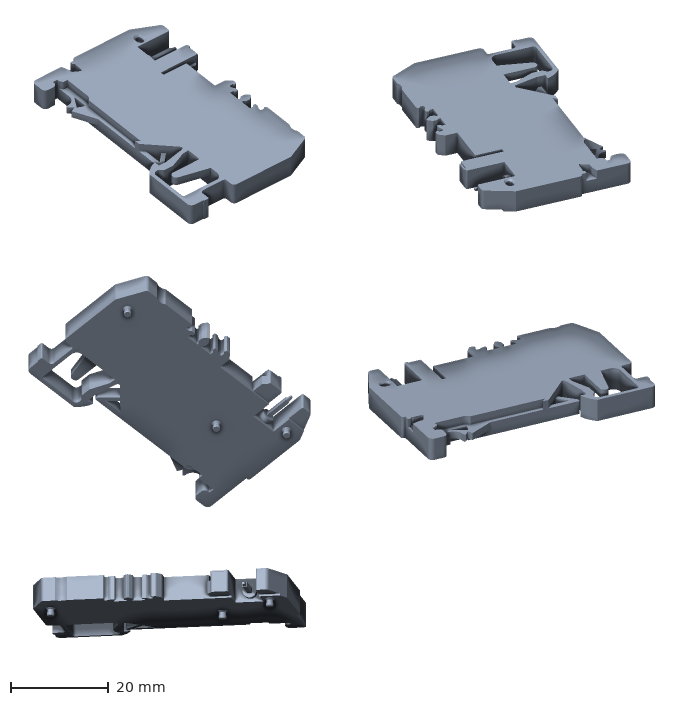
import cadquery as cq
import math

LENGTH = 53.0
HEIGHT = 32.5
THICKNESS = 4.93
PEG_LENGTH = 1.62
STEP_DEPTH = 1.95
STEP_Z = THICKNESS - STEP_DEPTH

SHOULDER_Y = 26.2
SHOULDER_RUN = 3.0
BODY_BOTTOM_Y = 11.1
RAIL_Y = 4.5
BRACE_TOP = (34.2, 8.45)
BRACE_CORNER_Y = 5.25
NOTCH_RISE = 2.75
LEG_LEFT = 0.75
LEG_RIGHT = 4.9
LEG_HOOK_X = 3.5
FOOT_RADIUS = 1.05
FOOT_LEFT_X = 39.25
FOOT_RIGHT_X = 52.8

SLOT_LEFT, SLOT_RIGHT, SLOT_BOTTOM = 5.42, 11.17, 24.0
SHELF_LEFT, SHELF_RIGHT, SHELF_Y = 15.68, 25.2, 28.5
GROOVE_LEFT, GROOVE_RIGHT, GROOVE_BOTTOM = 14.93, 15.85, 22.5
MARKER_X = 32.2
MARKER_HALF_OPENING = 5.05
MARKER_FLOOR_Y = 29.5

PIN_X = 8.03
PIN_Z = 2.12
PIN_WIDTH = 1.0
PIN_END_Y = 30.75
PIN_TIP_BASE_WIDTH = 0.75
PIN_TIP_Y = 32.0
PIN_TIP_WIDTH = 0.45
COLLAR_DIAMETER = 2.9
COLLAR_HEIGHT = 1.25

LATCH_Z = 1.35
LATCH_LEFT, LATCH_RIGHT = 7.46, 16.9

PEG_CENTERS = [(3.67, 26.05), (15.13, 17.2), (LENGTH - 3.67, 26.05)]
SOCKET_CENTER = (3.64, 26.0)
SOCKET_LENGTH, SOCKET_WIDTH = 2.8, 2.15
SOCKET_FLOOR_LENGTH, SOCKET_FLOOR_WIDTH = 2.0, 1.4
SOCKET_LEAD_IN = 0.35
SOCKET_DEPTH = 1.5

RELIEF_HEIGHT = 0.4

OVERCUT = 1.0


def rounded_outline(corners):
    """Closed wire through (x, y) or (x, y, radius) corners, rounded where a radius is given."""
    count = len(corners)
    path = []
    for i, corner in enumerate(corners):
        point = cq.Vector(corner[0], corner[1])
        if len(corner) == 2:
            path.append((point, None, point))
            continue
        previous = corners[i - 1]
        following = corners[(i + 1) % count]
        to_previous = (cq.Vector(previous[0], previous[1]) - point).normalized()
        to_following = (cq.Vector(following[0], following[1]) - point).normalized()
        half_angle = to_previous.getAngle(to_following) / 2
        radius = corner[2]
        setback = radius / math.tan(half_angle)
        to_middle = radius / math.sin(half_angle) - radius
        bisector = (to_previous + to_following).normalized()
        start = point + to_previous * setback
        middle = point + bisector * to_middle
        end = point + to_following * setback
        path.append((start, middle, end))
    outline = cq.Workplane("XY").moveTo(path[0][2].x, path[0][2].y)
    for start, middle, end in path[1:] + path[:1]:
        outline = outline.lineTo(start.x, start.y)
        if middle is not None:
            outline = outline.threePointArc((middle.x, middle.y), (end.x, end.y))
    return outline.close()


def prism(corners, bottom, top):
    """Upright prism with a rounded outline between two heights."""
    return rounded_outline(corners).extrude(top - bottom).translate((0, 0, bottom))


def through_prism(corners):
    """Prism through the full thickness of the plate."""
    return prism(corners, -OVERCUT, THICKNESS + OVERCUT)


def upper_layer_prism(corners):
    """Prism through the upper layer of the plate, from the step level up."""
    return prism(corners, STEP_Z, THICKNESS + OVERCUT)


def make_plate():
    """Plate with both feet, the slot, the shelf and the brace under the right end."""
    left_foot = [
        (0, 11.3, 0.55),
        (LEG_LEFT, 11.3),
        (LEG_LEFT, 0, FOOT_RADIUS),
        (LEG_RIGHT, 0, FOOT_RADIUS),
        (LEG_RIGHT, 3.3, 0.9),
        (LEG_HOOK_X, 3.3, 0.25),
        (LEG_HOOK_X, RAIL_Y),
    ]
    brace_and_arm = [
        (37.45, RAIL_Y, 0.2),
        (37.45, BRACE_CORNER_Y, 0.2),
        BRACE_TOP,
        (BRACE_TOP[0] + NOTCH_RISE, BRACE_TOP[1] + NOTCH_RISE, 0.5),
        (38.3, 5.2),
        (38.3, 3.3),
        (36.95, 3.3),
        (37.6, 1.3, 6.6),
        (FOOT_LEFT_X, 0),
    ]
    right_foot = [
        (FOOT_RIGHT_X, 0, FOOT_RADIUS),
        (FOOT_RIGHT_X, 3.4),
        (LENGTH, 3.4),
        (LENGTH, 4.65, 0.3),
        (50.2, 4.65, 0.75),
        (50.2, BODY_BOTTOM_Y, 0.5),
        (LENGTH, BODY_BOTTOM_Y, 0.85),
    ]
    upper_edge = [
        (LENGTH, SHOULDER_Y),
        (LENGTH - SHOULDER_RUN, HEIGHT, 0.85),
        (26.2, HEIGHT, 0.4),
        (SHELF_RIGHT, 31.2, 0.4),
        (SHELF_RIGHT, SHELF_Y),
        (SHELF_LEFT, SHELF_Y),
        (SHELF_LEFT, 31.1),
        (15.0, 31.75),
        (14.65, HEIGHT, 0.2),
        (SLOT_RIGHT, HEIGHT, 0.4),
        (SLOT_RIGHT, SLOT_BOTTOM),
        (SLOT_LEFT, SLOT_BOTTOM),
        (SLOT_LEFT, HEIGHT, 0.4),
        (SHOULDER_RUN, HEIGHT, 0.85),
        (0, SHOULDER_Y),
    ]
    return prism(left_foot + brace_and_arm + right_foot + upper_edge, 0, THICKNESS)


def foot_window_cutter():
    """Window inside the right foot; a tapered tongue hangs into its upper layer only."""
    window = through_prism([
        (38.2, BODY_BOTTOM_Y, 0.2),
        (38.35, 9.6, 2.0),
        (40.15, 5.5, 0.5),
        (40.15, 3.2, 0.5),
        (39.35, 2.35, 0.4),
        (39.35, 0.87, 1.0),
        (49.3, 0.87, 0.5),
        (49.3, BODY_BOTTOM_Y, 1.6),
    ])
    tongue = upper_layer_prism([
        (45.55, BODY_BOTTOM_Y),
        (43.6, 3.25, 0.98),
        (41.87, 3.25, 0.93),
        (41.87, BODY_BOTTOM_Y),
    ])
    return window.cut(tongue)


def brace_cutters():
    """Triangular hole in the brace and the step that lowers the brace below the upper face."""
    hole = through_prism([(31.35, 5.6), (35.65, 5.6), (33.5, 7.75)])
    step_bottom = RAIL_Y - 0.5
    step_right = 37.9
    left_reach = BRACE_TOP[1] - step_bottom
    step = upper_layer_prism([
        (BRACE_TOP[0] - left_reach, step_bottom),
        (step_right, step_bottom),
        (step_right, BRACE_CORNER_Y),
        BRACE_TOP,
    ])
    return hole.union(step)


def marker_cutter():
    """Marker holder opening: two mirrored grooves either side of an arrow-shaped post."""
    half = [
        (0.55, MARKER_FLOOR_Y),
        (0.55, 30.0, 0.2),
        (0.95, 30.3, 0.2),
        (0.95, 31.3, 0.4),
        (0.35, 32.15, 0.3),
        (0, 32.35),
        (0, HEIGHT + OVERCUT),
        (MARKER_HALF_OPENING, HEIGHT + OVERCUT),
        (MARKER_HALF_OPENING, HEIGHT),
        (4.7, 31.95, 0.2),
        (5.15, 31.6, 0.2),
        (5.1, 30.75, 0.3),
        (4.3, 30.85, 0.3),
        (3.7, 31.25, 0.3),
        (2.8, 31.3, 0.2),
        (2.8, 30.6, 0.2),
        (3.25, 30.3, 0.15),
        (3.25, MARKER_FLOOR_Y),
    ]
    right_half = through_prism(half)
    return right_half.union(right_half.mirror("YZ")).translate((MARKER_X, 0, 0))


def finger_groove_cutter():
    """Shallow concave groove across the upper edge."""
    center_x, half_width, depth = 46.0, 1.25, 0.4
    return (
        cq.Workplane("XY")
        .moveTo(center_x - half_width, HEIGHT)
        .threePointArc((center_x, HEIGHT - depth), (center_x + half_width, HEIGHT))
        .lineTo(center_x + half_width, HEIGHT + OVERCUT)
        .lineTo(center_x - half_width, HEIGHT + OVERCUT)
        .close()
        .extrude(THICKNESS)
    )


def upper_face_cutters():
    """Recesses cut down from the upper face."""
    rail_recess = upper_layer_prism([
        (LEG_RIGHT, 6.07),
        (12.0, 6.07, 1.7),
        (12.7, 5.37),
        (29.8, 5.37),
        (28.43, RAIL_Y - 0.5),
        (4.2, RAIL_Y - 0.5),
        (4.2, RAIL_Y + 0.1),
        (LEG_RIGHT, RAIL_Y + 0.5, 0.5),
    ])
    leg_pocket = upper_layer_prism([
        (LEG_LEFT - OVERCUT, 10.1),
        (1.4, 10.1),
        (1.8, 10.6, 0.2),
        (2.2, 10.43),
        (3.95, 10.43),
        (4.4, 10.2),
        (3.35, 8.3),
        (2.25, 8.3),
        (LEG_LEFT, 7.77),
        (LEG_LEFT - OVERCUT, 7.77),
    ])
    side_groove = upper_layer_prism([
        (GROOVE_LEFT, GROOVE_BOTTOM),
        (GROOVE_RIGHT, GROOVE_BOTTOM),
        (GROOVE_RIGHT, HEIGHT),
        (GROOVE_LEFT, HEIGHT),
    ])
    notch_left, notch_width, notch_depth = 12.1, 0.35, 0.4
    label_notch = prism(
        [
            (notch_left, HEIGHT - notch_width),
            (GROOVE_LEFT, HEIGHT - notch_width),
            (GROOVE_LEFT, HEIGHT + OVERCUT),
            (notch_left, HEIGHT + OVERCUT),
        ],
        THICKNESS - notch_depth,
        THICKNESS + OVERCUT,
    )
    return rail_recess.union(leg_pocket).union(side_groove).union(label_notch)


def socket_cutter():
    """Oblong socket with a tapered lead-in in the upper face."""
    return (
        cq.Workplane("XY", origin=(*SOCKET_CENTER, THICKNESS))
        .slot2D(SOCKET_LENGTH, SOCKET_WIDTH)
        .workplane(offset=-SOCKET_LEAD_IN)
        .slot2D(SOCKET_FLOOR_LENGTH, SOCKET_FLOOR_WIDTH)
        .loft()
        .faces("<Z")
        .workplane()
        .slot2D(SOCKET_FLOOR_LENGTH, SOCKET_FLOOR_WIDTH)
        .extrude(SOCKET_DEPTH - SOCKET_LEAD_IN)
    )


def underside_relief_cutter():
    """Thin relief under the upper edge, left of the marker holder."""
    return cq.Workplane("XY").box(
        SHELF_RIGHT, HEIGHT - SHELF_Y, RELIEF_HEIGHT, centered=False
    ).translate((0, SHELF_Y, 0))


def add_latch(plate):
    """Spring latch: forked hook with a triangular hole, above a notch in the lower edge."""
    notch_left, notch_right, notch_top, notch_radius = 7.7, 11.75, 5.6, 0.35
    notch_outline = [
        (notch_left, RAIL_Y - OVERCUT),
        (notch_right, RAIL_Y - OVERCUT),
        (notch_right, notch_top, notch_radius),
        (notch_left, notch_top, notch_radius),
    ]
    notch = prism(notch_outline, 0, LATCH_Z)
    overlap = 0.5
    hook = (
        cq.Workplane("XY", origin=(0, 0, LATCH_Z))
        .moveTo(LATCH_LEFT, RAIL_Y)
        .threePointArc((8.8, 3.95), (9.45, 2.9))
        .lineTo(9.55, 2.05)
        .lineTo(9.9, 1.9)
        .lineTo(10.9, 3.05)
        .lineTo(11.45, 1.9)
        .lineTo(LATCH_RIGHT, RAIL_Y)
        .lineTo(LATCH_RIGHT, RAIL_Y + overlap)
        .lineTo(LATCH_LEFT, RAIL_Y + overlap)
        .close()
        .extrude(STEP_Z - LATCH_Z)
    )
    hole = through_prism([(8.15, 5.2), (11.7, 5.2), (11.75, 4.7), (11.15, 3.45)])
    return plate.cut(notch).union(hook).cut(hole)


def make_pin():
    """Square pin with a tapered tip on a round collar, pointing along +Y."""
    embed = 0.5
    collar = (
        cq.Workplane("XZ", origin=(PIN_X, SLOT_BOTTOM - embed, PIN_Z))
        .circle(COLLAR_DIAMETER / 2)
        .extrude(-COLLAR_HEIGHT - embed)
    )
    shaft = (
        cq.Workplane("XZ", origin=(PIN_X, SLOT_BOTTOM, PIN_Z))
        .rect(PIN_WIDTH, PIN_WIDTH)
        .extrude(SLOT_BOTTOM - PIN_END_Y)
    )
    tip = (
        cq.Workplane("XZ", origin=(PIN_X, PIN_END_Y, PIN_Z))
        .rect(PIN_TIP_BASE_WIDTH, PIN_TIP_BASE_WIDTH)
        .workplane(offset=PIN_END_Y - PIN_TIP_Y)
        .rect(PIN_TIP_WIDTH, PIN_TIP_WIDTH)
        .loft()
    )
    return collar.union(shaft).union(tip)


def make_peg(center):
    """Turned alignment peg below the plate, with a flared root and a snap ring."""
    root_radius, neck_radius, ring_radius = 1.0, 0.7, 0.8
    embed = 0.5
    return (
        cq.Workplane("XZ")
        .moveTo(0, embed)
        .lineTo(root_radius, embed)
        .lineTo(root_radius, -0.05)
        .lineTo(neck_radius, -0.35)
        .lineTo(neck_radius, -0.85)
        .lineTo(ring_radius, -1.0)
        .lineTo(ring_radius, -1.4)
        .lineTo(neck_radius, -PEG_LENGTH)
        .lineTo(0, -PEG_LENGTH)
        .close()
        .revolve(360, (0, 0, 0), (0, 1, 0))
        .translate((center[0], center[1], 0))
    )


result = make_plate()
result = result.cut(foot_window_cutter())
result = result.cut(brace_cutters())
result = result.cut(marker_cutter())
result = result.cut(finger_groove_cutter())
result = result.cut(upper_face_cutters())
result = result.cut(socket_cutter())
result = result.cut(underside_relief_cutter())
result = add_latch(result)
result = result.union(make_pin())
for peg_center in PEG_CENTERS:
    result = result.union(make_peg(peg_center))